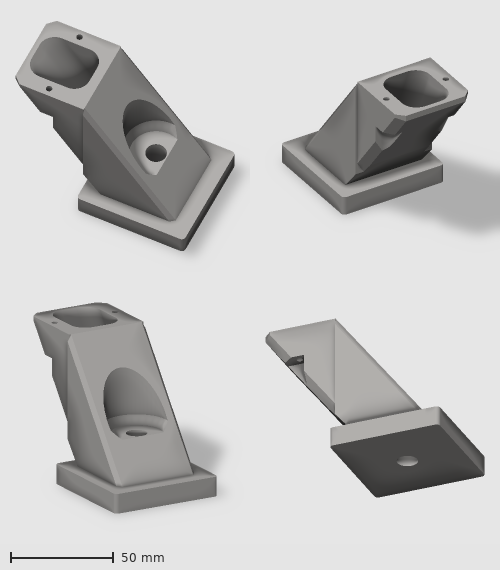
import cadquery as cq

total_length = 96.7
total_height = 74.5

plate_side = 58
plate_height = 10.1
plate_corner_radius = 2.0
plate_start = total_length - plate_side

wide_width = 43.9
narrow_width = 41.9
column_foot_front = 48.1
column_foot_rear = 88
tip_thickness = 3.2
foot_joint_height = 21.4
rear_chamfer = 2.0
head_chamfer = 4.0
slope = (total_height - plate_height) / (column_foot_rear - plate_start)
tip_bottom = total_height - tip_thickness
foot_slope = (foot_joint_height - plate_height) / (column_foot_front - plate_start)

screw_diameter = 3.2
screw_x = 18.1
screw_y = 17.0
notch_radius = 4.0
notch_ceiling = 58

duct_start_x = 2.6
duct_length = 31.1
duct_width = 25.1
duct_corner_radius = 8.0
duct_depth = 40.6
duct_end_start_x = 33.8
duct_end_length = 15.9
duct_end_width = 24.7
duct_end_radius = 7.8

bolt_x = 67.7
bolt_diameter = 10.5
recess_radius = 16.2
seat_radius = 13.05
seat_edge_x = 73.6
seat_cone_height = 4.4
seat_height = total_height - slope * (seat_edge_x - plate_start)


def side_prism(points, width):
    """Extrude an XZ outline symmetrically about Y = 0."""
    return cq.Workplane("XZ").polyline(points).close().extrude(width / 2, both=True)


def base_plate():
    plate = cq.Workplane("XY").box(plate_side, plate_side, plate_height, centered=(False, True, False))
    return plate.edges("|Z").fillet(plate_corner_radius).translate((plate_start, 0, 0))


def wide_column():
    column = side_prism(
        [
            (plate_start, total_height),
            (column_foot_rear, plate_height),
            (column_foot_front, plate_height),
            (plate_start, foot_joint_height),
        ],
        wide_width,
    )
    slanted_face = column.faces(cq.selectors.DirectionMinMaxSelector(cq.Vector(slope, 0, 1), True))
    return slanted_face.edges("not |Y").chamfer(rear_chamfer)


def narrow_head():
    head = side_prism(
        [
            (0, total_height),
            (plate_start, total_height),
            (plate_start, tip_bottom - slope * plate_start),
            (0, tip_bottom),
        ],
        narrow_width,
    )
    tip_edges = head.faces("<X").edges("|Z")
    underside = head.faces(cq.selectors.DirectionMinMaxSelector(cq.Vector(slope, 0, 1), False))
    return tip_edges.add(underside.edges("not |Y")).chamfer(head_chamfer)


def foot_relief():
    """Space below the shallower plane at the foot of the column."""
    relief_height = foot_joint_height + foot_slope * plate_start
    return side_prism(
        [(0, plate_height), (column_foot_front, plate_height), (0, relief_height)],
        plate_side,
    )


def screw_access(side):
    """Screw hole and round-cornered notch; side is 1 for +Y and -1 for -Y."""
    notch_length = screw_x + notch_radius
    notch_width = plate_side / 2 - screw_y + notch_radius
    notch = (
        cq.Workplane("XY")
        .box(notch_length, notch_width, notch_ceiling - plate_height, centered=False)
        .edges("|Z and >X and <Y")
        .fillet(notch_radius)
        .translate((0, screw_y - notch_radius, plate_height))
    )
    hole = (
        cq.Workplane("XY", origin=(screw_x, screw_y, notch_ceiling))
        .circle(screw_diameter / 2)
        .extrude(total_height - notch_ceiling)
    )
    access = notch.union(hole)
    return access if side > 0 else access.mirror("XZ")


def rounded_section(start_x, length, width, radius, height):
    sketch = cq.Sketch().rect(length, width).vertices().fillet(radius)
    return sketch.moved(cq.Location(cq.Vector(start_x + length / 2, 0, height)))


def duct():
    top = rounded_section(duct_start_x, duct_length, duct_width, duct_corner_radius, total_height)
    end = rounded_section(
        duct_end_start_x, duct_end_length, duct_end_width, duct_end_radius, total_height - duct_depth
    )
    return cq.Workplane("XY").placeSketch(top, end).loft(ruled=True)


def bolt_recess():
    """Revolved cut: bolt hole, flat seat, cone, then a cylinder open upwards."""
    bolt_radius = bolt_diameter / 2
    return (
        cq.Workplane("XZ", origin=(bolt_x, 0, 0))
        .polyline(
            [
                (0, 0),
                (bolt_radius, 0),
                (bolt_radius, seat_height),
                (seat_radius, seat_height),
                (recess_radius, seat_height + seat_cone_height),
                (recess_radius, total_height),
                (0, total_height),
            ]
        )
        .close()
        .revolve(360, (0, 0), (0, 1))
    )


result = narrow_head().cut(foot_relief()).union(wide_column()).union(base_plate())
for side in (-1, 1):
    result = result.cut(screw_access(side))
result = result.cut(duct()).cut(bolt_recess())